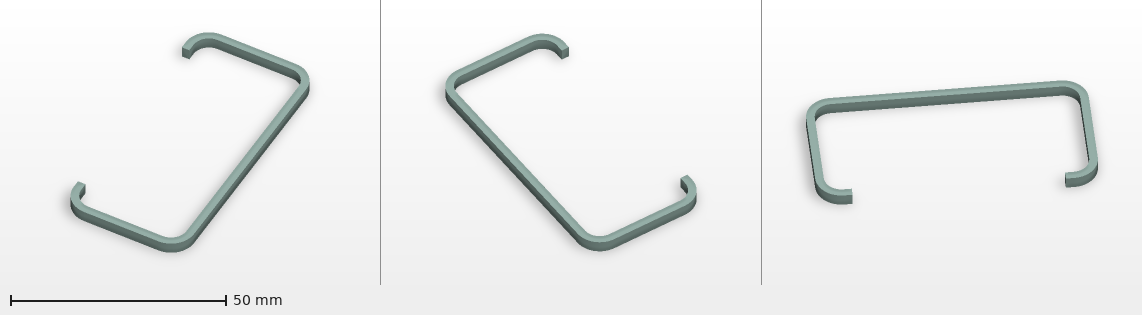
import cadquery as cq

width = 31.9
length = 66.0
height = 3.0
wall = 2.0
outer_radius = 6.1
lip_straight = 2.0

inner_radius = outer_radius - wall
lip_reach = outer_radius + lip_straight
mouth_length = length - 2 * lip_reach


def rounded_block(size_x, size_y, radius):
    """Block centred in X and Y, standing on Z = 0, with rounded vertical edges."""
    block = cq.Workplane("XY").box(size_x, size_y, height, centered=(True, True, False))
    return block.edges("|Z").fillet(radius)


def mouth_cutter():
    """Block that opens the -X side of the loop between the two end lips."""
    return (
        cq.Workplane("XY")
        .box(2 * wall, mouth_length, height, centered=(True, True, False))
        .translate((-width / 2, 0, 0))
    )


outside = rounded_block(width, length, outer_radius)
inside = rounded_block(width - 2 * wall, length - 2 * wall, inner_radius)
loop = outside.cut(inside)

result = loop.cut(mouth_cutter())